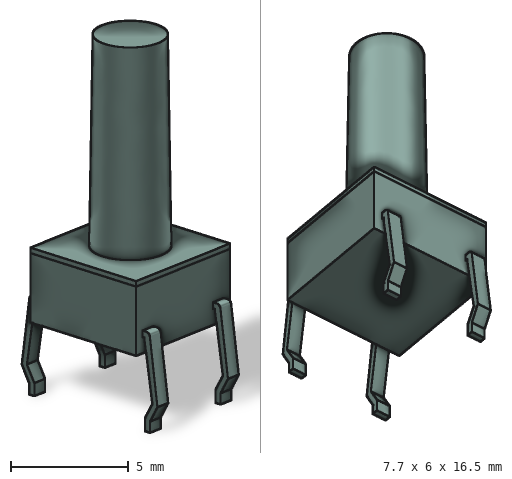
import cadquery as cq

total_height = 16.5
housing_side = 6.0
terminal_span = 7.7

housing_bottom = 3.5
cover_top = 6.9
cover_thickness = 0.25
housing_top = cover_top - cover_thickness

plunger_base_diameter = 3.5
plunger_tip_diameter = 3.2

terminal_thickness = 0.3
terminal_width = 0.7
terminal_pitch = 4.5
shoulder_top = 4.54
shoulder_reach = 3.4
shoulder_radius = 0.2
knee_height = 1.27
inner_knee_height = 1.34
foot_reach = 3.43
foot_height = 0.51
inner_foot_height = 0.6


def make_terminal(side, y_center):
    """Bent terminal leaving the housing wall at +X (side = 1) or -X (side = -1)."""
    wall = housing_side / 2
    knee = terminal_span / 2
    outline = [
        (wall, shoulder_top),
        (shoulder_reach, shoulder_top),
        (knee, knee_height),
        (foot_reach, foot_height),
        (foot_reach, 0),
        (foot_reach - terminal_thickness, 0),
        (foot_reach - terminal_thickness, inner_foot_height),
        (knee - terminal_thickness, inner_knee_height),
        (shoulder_reach - terminal_thickness, shoulder_top - terminal_thickness),
        (wall, shoulder_top - terminal_thickness),
    ]
    terminal = (
        cq.Workplane("XZ", origin=(0, y_center, 0))
        .polyline([(side * x, z) for x, z in outline])
        .close()
        .extrude(terminal_width / 2, both=True)
    )
    shoulder_edge = cq.selectors.NearestToPointSelector((side * shoulder_reach, y_center, shoulder_top))
    return terminal.edges("|Y").edges(shoulder_edge).fillet(shoulder_radius)


def make_housing():
    """Square housing block with its four terminals."""
    housing = (
        cq.Workplane("XY", origin=(0, 0, housing_bottom))
        .rect(housing_side, housing_side)
        .extrude(housing_top - housing_bottom)
    )
    for side in (-1, 1):
        for y_center in (-terminal_pitch / 2, terminal_pitch / 2):
            housing = housing.union(make_terminal(side, y_center))
    return housing


def make_cover():
    """Flat square plate lying on the housing."""
    return (
        cq.Workplane("XY", origin=(0, 0, housing_top))
        .rect(housing_side, housing_side)
        .extrude(cover_thickness)
    )


def make_plunger():
    """Round plunger standing on the cover, tapering towards its tip."""
    return (
        cq.Workplane("XY", origin=(0, 0, cover_top))
        .circle(plunger_base_diameter / 2)
        .workplane(offset=total_height - cover_top)
        .circle(plunger_tip_diameter / 2)
        .loft(ruled=True)
    )


housing = make_housing()
cover = make_cover()
plunger = make_plunger()

result = cq.Compound.makeCompound([housing.val(), cover.val(), plunger.val()])